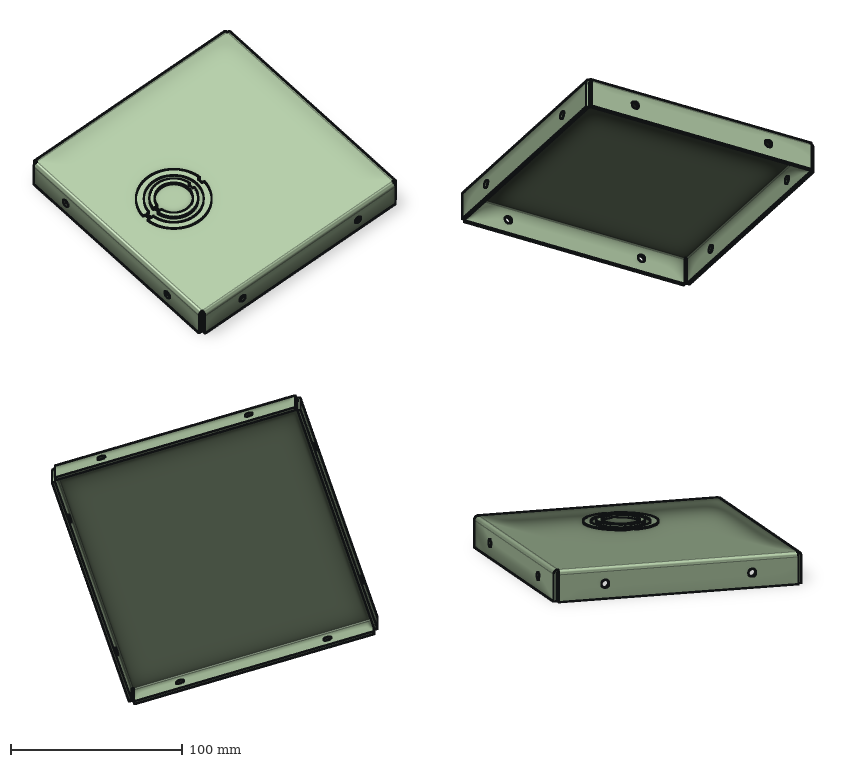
import cadquery as cq

outer_side = 152.4
cover_height = 19.0
sheet = 1.8
bend_radius = 2.6
bend_inner_radius = bend_radius - sheet
panel_side = outer_side - 2 * bend_radius
panel_bottom = cover_height - sheet

hole_diameter = 4.7
hole_height = 9.0
front_back_hole_spacing = 90.4
left_right_hole_spacing = 89.3

knockout_y = -31.7
low_ring_diameter = 44.2
low_ring_inner_diameter = 35.0
low_ring_rise = 0.6
high_ring_diameter = 28.7
high_ring_inner_diameter = 22.4
high_ring_rise = 1.5
notch_width = 3.7
low_notch_depth = 1.7
high_notch_depth = 1.4


def make_flange(hole_spacing):
    """Flange along the -Y edge: bend and wall in one extruded section, with two holes."""
    outer_face = -outer_side / 2
    bend_line = outer_face + bend_radius
    bend_center_z = cover_height - bend_radius
    diagonal = 0.5 ** 0.5
    outer_mid = (bend_line - bend_radius * diagonal, bend_center_z + bend_radius * diagonal)
    inner_mid = (bend_line - bend_inner_radius * diagonal, bend_center_z + bend_inner_radius * diagonal)
    flange = (
        cq.Workplane("YZ")
        .moveTo(outer_face, 0)
        .lineTo(outer_face, bend_center_z)
        .threePointArc(outer_mid, (bend_line, cover_height))
        .lineTo(bend_line, panel_bottom)
        .threePointArc(inner_mid, (outer_face + sheet, bend_center_z))
        .lineTo(outer_face + sheet, 0)
        .close()
        .extrude(panel_side / 2, both=True)
    )
    holes = (
        cq.Workplane("XZ", origin=(0, outer_face + sheet, 0))
        .pushPoints([(-hole_spacing / 2, hole_height), (hole_spacing / 2, hole_height)])
        .circle(hole_diameter / 2)
        .extrude(sheet)
    )
    return flange.cut(holes)


def make_ring(diameter, inner_diameter, rise, notch_depth):
    """Ring on the panel, notched outside at +Y and -Y and inside at -Y."""
    base = cq.Workplane("XY", origin=(0, knockout_y, cover_height))
    ring = base.circle(diameter / 2).circle(inner_diameter / 2).extrude(rise)
    notch_centers = [(0, diameter / 2), (0, -diameter / 2), (0, -inner_diameter / 2)]
    notches = base.pushPoints(notch_centers).rect(notch_width, 2 * notch_depth).extrude(rise)
    return ring.cut(notches)


def make_cover():
    """Panel, four flanges and the low ring pressed up out of the panel."""
    cover = cq.Workplane("XY", origin=(0, 0, panel_bottom)).rect(panel_side, panel_side).extrude(sheet)
    flange_spacings = [
        front_back_hole_spacing,
        left_right_hole_spacing,
        front_back_hole_spacing,
        left_right_hole_spacing,
    ]
    for quarter_turns, spacing in enumerate(flange_spacings):
        flange = make_flange(spacing).rotate((0, 0, 0), (0, 0, 1), 90 * quarter_turns)
        cover = cover.union(flange)
    low_ring = make_ring(low_ring_diameter, low_ring_inner_diameter, low_ring_rise, low_notch_depth)
    return cover.union(low_ring)


cover = make_cover()
high_ring = make_ring(high_ring_diameter, high_ring_inner_diameter, high_ring_rise, high_notch_depth)

result = cq.Compound.makeCompound([cover.val(), high_ring.val()])